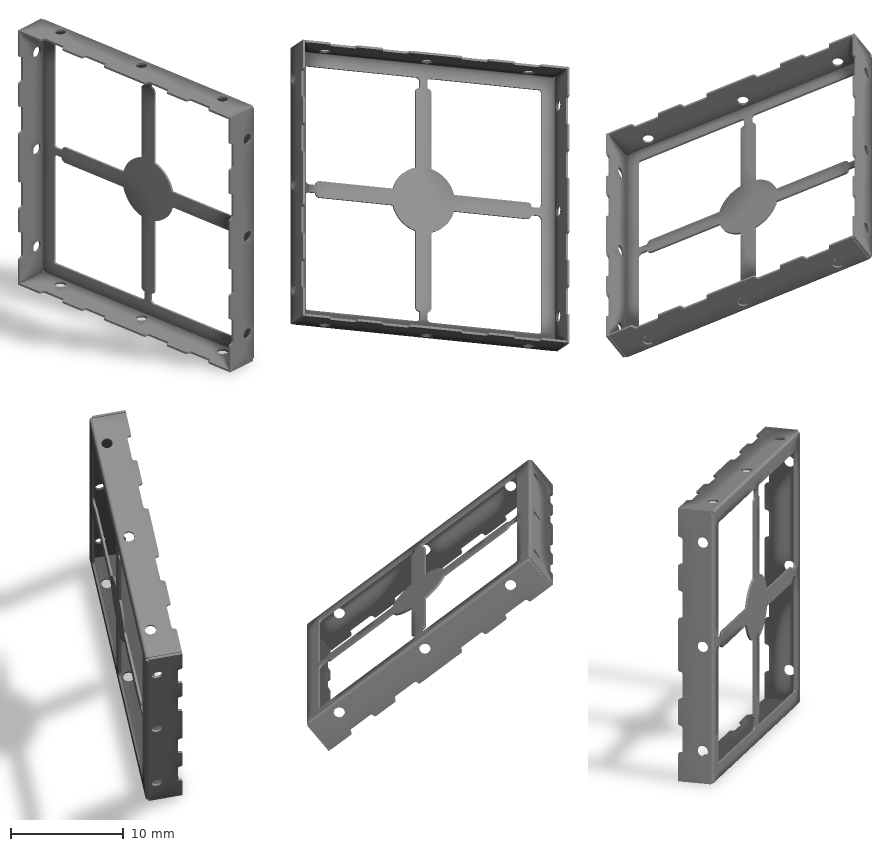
import cadquery as cq
import math

side = 25.4
depth = 3.3
half_side = side / 2
back_y = depth / 2
front_y = -depth / 2

diagonal = math.sqrt(0.5)
arc_inset = 1 - diagonal

sheet = 0.2
bend_outer_radius = 0.25
bend_inner_radius = bend_outer_radius - sheet
half_base = half_side - bend_outer_radius
bend_y = back_y - bend_outer_radius

frame_width = 1.47
half_window = half_side - frame_width
window_corner_radius = 0.2
hub_radius = 3.0
spoke_width = 1.5
neck_width = 0.7
neck_length = 0.95
shoulder_radius = (spoke_width - neck_width) / 2
neck_radius = 0.35

hole_diameter = 1.0
hole_spacing = 9.7
hole_from_back = 1.02

notch_width = 2.51
notch_pitch = 5.0
inner_notch_center = 3.75
notch_centers = (inner_notch_center, inner_notch_center + notch_pitch)
notch_depth = 0.4
notch_radius = notch_depth / 2


def make_base():
    """Flat back plate with its square window."""
    plate = cq.Workplane("XY").box(2 * half_base, sheet, 2 * half_base)
    window = (
        cq.Workplane("XY")
        .box(2 * half_window, sheet, 2 * half_window)
        .edges("|Y")
        .fillet(window_corner_radius)
    )
    return plate.cut(window).translate((0, back_y - sheet / 2, 0))


def make_spoke():
    """Spoke running up from the centre, necked where it joins the window frame."""
    half_spoke = spoke_width / 2
    half_neck = neck_width / 2
    shoulder = half_window - neck_length
    shoulder_inset = shoulder_radius * arc_inset
    neck_inset = neck_radius * arc_inset
    frame_overlap = half_window + frame_width / 2
    half_foot = half_neck + neck_radius
    right_half = (
        cq.Workplane("XZ", origin=(0, back_y, 0))
        .moveTo(0, 0)
        .lineTo(half_spoke, 0)
        .lineTo(half_spoke, shoulder - shoulder_radius)
        .threePointArc(
            (half_spoke - shoulder_inset, shoulder - shoulder_inset),
            (half_neck, shoulder),
        )
        .lineTo(half_neck, half_window - neck_radius)
        .threePointArc(
            (half_neck + neck_inset, half_window - neck_inset),
            (half_foot, half_window),
        )
        .lineTo(half_foot, frame_overlap)
        .lineTo(0, frame_overlap)
        .close()
        .extrude(sheet)
    )
    return right_half.union(right_half.mirror("YZ"))


def make_hub():
    return cq.Workplane("XZ", origin=(0, back_y, 0)).circle(hub_radius).extrude(sheet)


def make_bend():
    """Quarter-round bend from the top edge of the back plate into the top wall."""
    outer_middle = bend_outer_radius * diagonal
    inner_middle = bend_inner_radius * diagonal
    return (
        cq.Workplane("YZ", origin=(-half_base, bend_y, half_base))
        .moveTo(bend_outer_radius, 0)
        .threePointArc((outer_middle, outer_middle), (0, bend_outer_radius))
        .lineTo(0, bend_inner_radius)
        .threePointArc((inner_middle, inner_middle), (bend_inner_radius, 0))
        .close()
        .extrude(2 * half_base)
    )


def make_notch(center_x):
    """Cutter for one rim notch of the top wall, with S-shaped flanks."""
    half_notch = notch_width / 2
    r = notch_radius
    inset = r * arc_inset
    floor_y = front_y + notch_depth
    middle_y = front_y + r
    return (
        cq.Workplane("XY", origin=(center_x, 0, half_base))
        .moveTo(-half_notch - r, front_y)
        .threePointArc((-half_notch - inset, front_y + inset), (-half_notch, middle_y))
        .threePointArc((-half_notch + inset, floor_y - inset), (-half_notch + r, floor_y))
        .lineTo(half_notch - r, floor_y)
        .threePointArc((half_notch - inset, floor_y - inset), (half_notch, middle_y))
        .threePointArc((half_notch + inset, front_y + inset), (half_notch + r, front_y))
        .close()
        .extrude(bend_outer_radius)
    )


def make_wall(half_length):
    """Top wall with its bend, three holes and four rim notches."""
    wall_depth = bend_y - front_y
    wall = cq.Workplane("XY").box(2 * half_length, wall_depth, sheet)
    wall = wall.translate((0, front_y + wall_depth / 2, half_side - sheet / 2))
    wall = wall.union(make_bend())
    holes = (
        cq.Workplane("XY", origin=(0, back_y - hole_from_back, half_base))
        .pushPoints([(-hole_spacing, 0), (0, 0), (hole_spacing, 0)])
        .circle(hole_diameter / 2)
        .extrude(bend_outer_radius)
    )
    wall = wall.cut(holes)
    for center in notch_centers:
        wall = wall.cut(make_notch(center)).cut(make_notch(-center))
    return wall


long_wall = make_wall(half_side)
short_wall = make_wall(half_base)
spoke = make_spoke()

result = make_base().union(make_hub())
for quarter in range(4):
    angle = 90 * quarter
    wall = short_wall if quarter % 2 == 0 else long_wall
    for piece in (spoke, wall):
        result = result.union(piece.rotate((0, 0, 0), (0, 1, 0), angle))